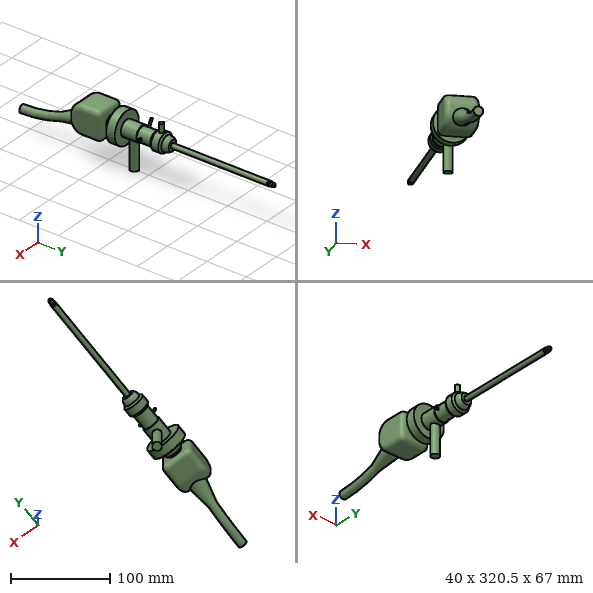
import cadquery as cq
import math

TOTAL_LENGTH = 320.5

NOSE_RADIUS = 1.5
TIP_RADIUS = 2.5
COLLAR_RADIUS = 3.05
NOSE_LENGTH = 2.0
TIP_END = 4.8
COLLAR_CHAMFER = 0.3
SHAFT_RADIUS = COLLAR_RADIUS
SHAFT_HOLE_DIAMETER = 1.5
SHAFT_HOLE_STATION = 7.5
SHAFT_HOLE_DEPTH = 1.0
SHAFT_HOLE_COUNT = 6

CAP_START = 129.8
CAP_FRONT_RADIUS = 6.57
CAP_BULGE = (8.0, 131.7)
CAP_BAND_START = 134.5
CAP_BAND_END = 137.0
CAP_BAND_RADIUS = 19.0 / 2
CAP_RING_START = 139.0
CAP_RING_END = 148.0
CAP_END = 150.3
CAP_RING_RADIUS = 23.5 / 2
CAP_REAR_RADIUS = 10.3
BARREL_RADIUS = 18.0 / 2
SLEEVE_RADIUS = 20.0 / 2
SLEEVE_START = 168.3
FLANGE_RADIUS = 40.0 / 2
FLANGE_START = 187.8
FLANGE_END = 198.7
FLARE_RADIUS = 17.5
FLARE_MIDDLE = (12.0, 201.5)
FLARE_END = 206.0
NECK_RADIUS = 19.0 / 2
SPIGOT_RADIUS = 15.7 / 2

UPPER_PORT_DIAMETER = 5.5
UPPER_PORT_STATION = 143.5
UPPER_PORT_TOP = 21.8
LOWER_PORT_DIAMETER = 10.0
LOWER_PORT_STATION = 178.2
LOWER_PORT_BOTTOM = 45.2
PIN_DIAMETER = 2.5
PIN_STATION = 163.0
RAISED_PIN_ANGLE = -30.0
RAISED_PIN_LENGTH = 18.5
SIDE_PIN_ANGLE = 90.0
SIDE_PIN_LENGTH = 11.0

HEAD_START = 208.0
HEAD_END = 247.7
HEAD_WIDTH = 36.2
HEAD_HEIGHT = 36.2
HEAD_REAR_RADIUS = 15.5
HEAD_SIDE_FILLET = 6.0
HEAD_FRONT_FILLET = 5.0

CABLE_DIAMETER = 10.0
CABLE_START = 270.8
CABLE_SLOPE = 19.5
CABLE_END_Z = -25.3
BOOT_LENGTH = 32.0
BOOT_WIDTH = 22.5
BOOT_HEIGHT = 19.0


def revolve_about_y(profile):
    """Turn a closed (radius, Y) profile about the Y axis."""
    return profile.close().revolve(360, (0, 0, 0), (0, 1, 0))


def turned_body():
    profile = (
        cq.Workplane("XY")
        .moveTo(0, 0)
        .lineTo(NOSE_RADIUS, 0)
        .lineTo(TIP_RADIUS, -NOSE_LENGTH)
        .lineTo(TIP_RADIUS, -TIP_END)
        .lineTo(COLLAR_RADIUS - COLLAR_CHAMFER, -TIP_END)
        .lineTo(COLLAR_RADIUS, -TIP_END - COLLAR_CHAMFER)
        .lineTo(SHAFT_RADIUS, -CAP_START)
        .lineTo(CAP_FRONT_RADIUS, -CAP_START)
        .threePointArc((CAP_BULGE[0], -CAP_BULGE[1]), (BARREL_RADIUS, -CAP_BAND_START))
        .lineTo(CAP_BAND_RADIUS, -CAP_BAND_END)
        .lineTo(CAP_RING_RADIUS, -CAP_RING_START)
        .lineTo(CAP_RING_RADIUS, -CAP_RING_END)
        .lineTo(CAP_REAR_RADIUS, -CAP_END)
        .lineTo(BARREL_RADIUS, -CAP_END)
        .lineTo(BARREL_RADIUS, -SLEEVE_START)
        .lineTo(SLEEVE_RADIUS, -SLEEVE_START)
        .lineTo(SLEEVE_RADIUS, -FLANGE_START)
        .lineTo(FLANGE_RADIUS, -FLANGE_START)
        .lineTo(FLANGE_RADIUS, -FLANGE_END)
        .lineTo(FLARE_RADIUS, -FLANGE_END)
        .threePointArc((FLARE_MIDDLE[0], -FLARE_MIDDLE[1]), (NECK_RADIUS, -FLARE_END))
        .lineTo(SPIGOT_RADIUS, -FLARE_END)
        .lineTo(SPIGOT_RADIUS, -HEAD_START)
        .lineTo(0, -HEAD_START)
    )
    return revolve_about_y(profile)


def radial_cylinder(station, angle, diameter, start, end):
    """Cylinder pointing away from the Y axis, at an angle from +Z towards +X."""
    direction = cq.Vector(math.sin(math.radians(angle)), 0, math.cos(math.radians(angle)))
    base = cq.Vector(0, -station, 0) + direction * start
    return cq.Workplane(cq.Solid.makeCylinder(diameter / 2, end - start, base, direction))


def build_endoscope():
    scope = turned_body()
    ports_and_pins = [
        (UPPER_PORT_STATION, 0.0, UPPER_PORT_DIAMETER, UPPER_PORT_TOP),
        (LOWER_PORT_STATION, 180.0, LOWER_PORT_DIAMETER, LOWER_PORT_BOTTOM),
        (PIN_STATION, RAISED_PIN_ANGLE, PIN_DIAMETER, RAISED_PIN_LENGTH),
        (PIN_STATION, SIDE_PIN_ANGLE, PIN_DIAMETER, SIDE_PIN_LENGTH),
    ]
    for station, angle, diameter, reach in ports_and_pins:
        scope = scope.union(radial_cylinder(station, angle, diameter, 0, reach))
    for index in range(SHAFT_HOLE_COUNT):
        angle = index * 360 / SHAFT_HOLE_COUNT
        hole = radial_cylinder(
            SHAFT_HOLE_STATION, angle, SHAFT_HOLE_DIAMETER,
            SHAFT_RADIUS - SHAFT_HOLE_DEPTH, 2 * SHAFT_RADIUS,
        )
        scope = scope.cut(hole)
    return scope


def head_housing():
    length = HEAD_END - HEAD_START
    return (
        cq.Workplane("XY")
        .box(HEAD_WIDTH, length, HEAD_HEIGHT)
        .translate((0, -HEAD_START - length / 2, 0))
        .faces("<Y").edges("|X").fillet(HEAD_REAR_RADIUS)
        .faces("<X or >X").edges("not >Y").fillet(HEAD_SIDE_FILLET)
        .faces(">Y").edges().fillet(HEAD_FRONT_FILLET)
    )


SLOPE = math.radians(CABLE_SLOPE)
BEND_RADIUS = (TOTAL_LENGTH - CABLE_START) / math.sin(SLOPE)
CABLE_START_POINT = cq.Vector(0, -CABLE_START, CABLE_END_Z + BEND_RADIUS * (1 - math.cos(SLOPE)))
CABLE_DIRECTION = cq.Vector(0, -math.cos(SLOPE), -math.sin(SLOPE))


def cable():
    section = cq.Plane(CABLE_START_POINT, (1, 0, 0), CABLE_DIRECTION)
    end_point = cq.Vector(0, -TOTAL_LENGTH, CABLE_END_Z)
    bend = cq.Edge.makeTangentArc(CABLE_START_POINT, CABLE_DIRECTION, end_point)
    path = cq.Workplane(cq.Wire.assembleEdges([bend]))
    return cq.Workplane(section).circle(CABLE_DIAMETER / 2).sweep(path)


def four_arc_section(distance, width, height):
    """Oval of four arcs that meet at its diagonals, square to the boot axis."""
    plane = cq.Plane(CABLE_START_POINT - CABLE_DIRECTION * distance, (1, 0, 0), CABLE_DIRECTION)
    half_width = width / 2
    half_height = height / 2
    corner_x = half_width * math.sqrt(0.5)
    corner_y = half_height * math.sqrt(0.5)
    return (
        cq.Workplane(plane)
        .moveTo(corner_x, corner_y)
        .threePointArc((0, half_height), (-corner_x, corner_y))
        .threePointArc((-half_width, 0), (-corner_x, -corner_y))
        .threePointArc((0, -half_height), (corner_x, -corner_y))
        .threePointArc((half_width, 0), (corner_x, corner_y))
        .close()
        .wire().val()
    )


def strain_relief_boot():
    wide_end = four_arc_section(BOOT_LENGTH, BOOT_WIDTH, BOOT_HEIGHT)
    cable_end = four_arc_section(0, CABLE_DIAMETER, CABLE_DIAMETER)
    return cq.Workplane(cq.Solid.makeLoft([wide_end, cable_end], True))


def build_camera_head():
    return head_housing().union(strain_relief_boot()).union(cable())


endoscope = build_endoscope()
camera_head = build_camera_head()

result = cq.Compound.makeCompound([endoscope.val(), camera_head.val()])